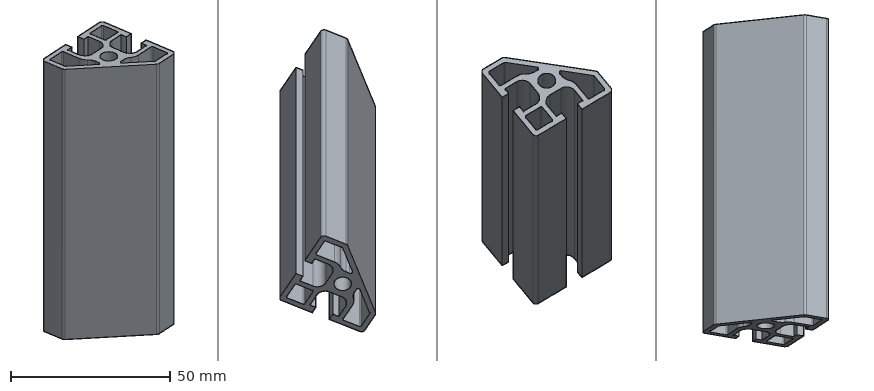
import cadquery as cq
import math

side = 30.0
length = 100.0
half_side = side / 2
wall = 1.8
outer_corner_radius = 1.25
diagonal_offset = 8.83

channel_diameter = 5.5

slot_opening = 6.0
lip_thickness = 2.5
slot_width = 10.2
slot_floor = 4.9
slot_corner_radius = 3.0

chamber_wall = 6.8
core_half_width = 4.9
shoulder_start = 6.5
shoulder_radius = 4.0
tip_radius = 0.6
chamber_corner_radius = 0.4

chamber_outer = half_side - wall
inner_diagonal_offset = diagonal_offset - wall * math.sqrt(2)


def prism(points):
    """Full-length prism over a closed polygon."""
    return cq.Workplane("XY").polyline(points).close().extrude(length)


def block(x_min, x_max, y_min, y_max):
    """Full-length rectangular block."""
    return prism([(x_min, y_min), (x_max, y_min), (x_max, y_max), (x_min, y_max)])


def round_edge(body, point, radius):
    """Round the lengthwise edge that passes through the given XY point."""
    edge = cq.selectors.NearestToPointSelector((*point, length / 2))
    return body.edges("|Z").edges(edge).fillet(radius)


def swap_sides(body):
    """Mirror a body across the plane y = -x, the symmetry plane of the profile."""
    return body.mirror("XY").rotate((0, 0, 0), (1, -1, 0), 180)


def make_outer_body():
    diagonal_end = half_side - diagonal_offset
    body = prism([
        (-half_side, half_side),
        (half_side, half_side),
        (half_side, diagonal_end),
        (-diagonal_end, -half_side),
        (-half_side, -half_side),
    ])
    return body.edges("|Z").fillet(outer_corner_radius)


def make_top_slot():
    opening = block(-slot_opening / 2, slot_opening / 2, half_side - lip_thickness, half_side)
    cavity = block(-slot_width / 2, slot_width / 2, slot_floor, half_side - lip_thickness)
    cavity = cavity.edges("|Z and <Y").fillet(slot_corner_radius)
    return cavity.union(opening)


def make_corner_chamber():
    chamber = block(-chamber_outer, -chamber_wall, chamber_wall, chamber_outer)
    return chamber.edges("|Z").fillet(chamber_corner_radius)


def make_side_chamber():
    step = chamber_wall - core_half_width
    turn = math.acos(1 - step / (2 * shoulder_radius))
    curve_start = (chamber_wall, shoulder_start)
    inflection = (
        chamber_wall - shoulder_radius * (1 - math.cos(turn)),
        shoulder_start - shoulder_radius * math.sin(turn),
    )
    curve_end = (core_half_width, inflection[1] - shoulder_radius * math.sin(turn))

    tip = (core_half_width, core_half_width - inner_diagonal_offset)
    diagonal_end = (chamber_outer, chamber_outer - inner_diagonal_offset)
    outer_corner = (chamber_outer, chamber_outer)
    inner_corner = (chamber_wall, chamber_outer)
    chamber = (
        cq.Workplane("XY")
        .moveTo(*inner_corner)
        .lineTo(*curve_start)
        .tangentArcPoint(inflection, relative=False)
        .tangentArcPoint(curve_end, relative=False)
        .lineTo(*tip)
        .lineTo(*diagonal_end)
        .lineTo(*outer_corner)
        .close()
        .extrude(length)
    )
    chamber = round_edge(chamber, tip, tip_radius)
    for corner in (diagonal_end, outer_corner, inner_corner):
        chamber = round_edge(chamber, corner, chamber_corner_radius)
    return chamber


def make_profile():
    profile = make_outer_body()
    for pocket in (make_top_slot(), make_side_chamber()):
        profile = profile.cut(pocket).cut(swap_sides(pocket))
    profile = profile.cut(make_corner_chamber())
    channel = cq.Workplane("XY").circle(channel_diameter / 2).extrude(length)
    return profile.cut(channel)


result = make_profile()